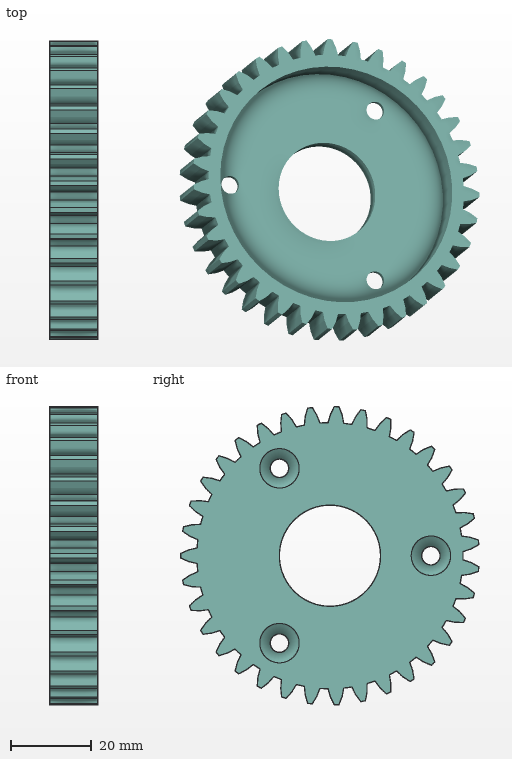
import cadquery as cq
import math

TEETH = 35
TIP_DIAMETER = 74.0
FACE_WIDTH = 12.0

ROOT_THICKNESS = 3.9
PITCH_THICKNESS = 2.95
TIP_THICKNESS = 1.2

RECESS_DIAMETER = 60.0
WEB_THICKNESS = 4.0
BORE_DIAMETER = 25.0

SCREW_COUNT = 3
SCREW_CIRCLE_RADIUS = 25.0
SCREW_HOLE_DIAMETER = 4.5
COUNTERSINK_DIAMETER = 9.8
COUNTERSINK_ANGLE = 90

MODULE = TIP_DIAMETER / (TEETH + 2)
PITCH_RADIUS = MODULE * TEETH / 2
TIP_RADIUS = PITCH_RADIUS + MODULE
ROOT_RADIUS = PITCH_RADIUS - MODULE
TOOTH_PITCH = 2 * math.pi / TEETH
FIRST_TOOTH_ANGLE = math.pi


def polar(radius, angle):
    """Point in the YZ plane, with the angle measured from +Y towards +Z."""
    return radius * math.cos(angle), radius * math.sin(angle)


def half_tooth_angle(radius, thickness):
    """Angle from a tooth's centreline to its flank where the tooth has the given thickness."""
    return math.asin(thickness / 2 / radius)


def gear_blank():
    """Toothed disc whose flanks are two flat facets each, meeting at the pitch circle."""
    root_angle = half_tooth_angle(ROOT_RADIUS, ROOT_THICKNESS)
    pitch_angle = half_tooth_angle(PITCH_RADIUS, PITCH_THICKNESS)
    tip_angle = half_tooth_angle(TIP_RADIUS, TIP_THICKNESS)
    outline = cq.Workplane("YZ").moveTo(*polar(ROOT_RADIUS, FIRST_TOOTH_ANGLE - root_angle))

    for tooth in range(TEETH):
        centre = FIRST_TOOTH_ANGLE + tooth * TOOTH_PITCH
        outline = outline.lineTo(*polar(PITCH_RADIUS, centre - pitch_angle))
        outline = outline.lineTo(*polar(TIP_RADIUS, centre - tip_angle))
        outline = outline.threePointArc(
            polar(TIP_RADIUS, centre),
            polar(TIP_RADIUS, centre + tip_angle),
        )
        outline = outline.lineTo(*polar(PITCH_RADIUS, centre + pitch_angle))
        outline = outline.lineTo(*polar(ROOT_RADIUS, centre + root_angle))
        outline = outline.threePointArc(
            polar(ROOT_RADIUS, centre + TOOTH_PITCH / 2),
            polar(ROOT_RADIUS, centre + TOOTH_PITCH - root_angle),
        )

    return outline.close().extrude(FACE_WIDTH)


def recess():
    """Round pocket from the X = 0 face that leaves the web at the far side."""
    return cq.Workplane("YZ").circle(RECESS_DIAMETER / 2).extrude(FACE_WIDTH - WEB_THICKNESS)


def bore():
    return cq.Workplane("YZ").circle(BORE_DIAMETER / 2).extrude(FACE_WIDTH)


def drill_screw_holes(gear):
    """Screw holes through the web, countersunk from the +X face, with one hole on +Y."""
    return (
        gear.faces(">X")
        .workplane(origin=(FACE_WIDTH, 0, 0))
        .polarArray(SCREW_CIRCLE_RADIUS, 0, 360, SCREW_COUNT)
        .cskHole(SCREW_HOLE_DIAMETER, COUNTERSINK_DIAMETER, COUNTERSINK_ANGLE)
    )


result = drill_screw_holes(gear_blank().cut(recess()).cut(bore()))